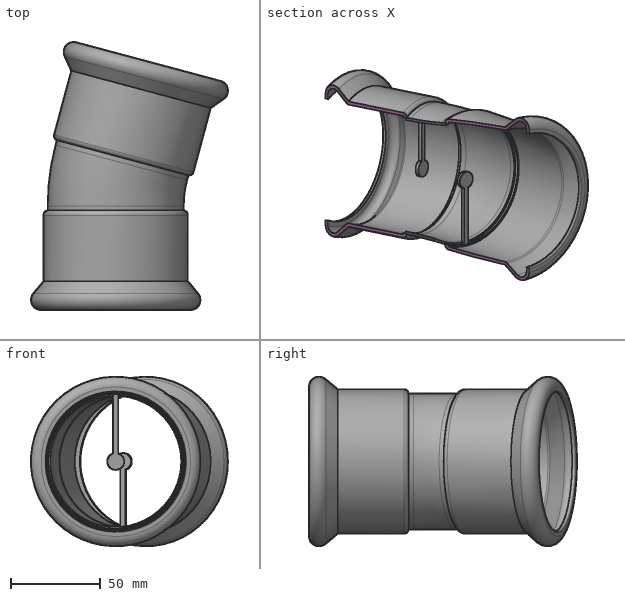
import cadquery as cq
import math

bend_angle = 15.0
leg_length = 70.52
bend_radius = 93.0
bend_tangent = bend_radius * math.tan(math.radians(bend_angle / 2))

pipe_outer_radius = 76.1 / 2
pipe_bore_radius = 73.1 / 2
socket_outer_radius = 80.7 / 2
socket_bore_radius = 76.7 / 2
wall = socket_outer_radius - socket_bore_radius
socket_depth = 53.0
shoulder_radius = 2.6
recess_radius = 75.1 / 2
recess_depth = 2.0
stop_depth = socket_depth + recess_depth

bead_outer_radius = 94.7 / 2
bead_round = 5.65
flare_angle = 40.0
flare_fillet = 1.7
mouth_radius = 78.2 / 2
lip_fillet = 0.4
bead_centre_radius = bead_outer_radius - bead_round

marker_thickness = recess_depth
marker_disc_radius = 9.5 / 2
spoke_width = 3.0


def flare_start(round_radius):
    """Point (radius, depth) where a bead arc about the bead centre runs into the flare."""
    angle = math.radians(flare_angle)
    return (
        bead_centre_radius + round_radius * math.cos(angle),
        bead_round + round_radius * math.sin(angle),
    )


def flare_end(round_radius, end_radius):
    """Point (radius, depth) where the flare meets a cylinder of the given radius."""
    radius, depth = flare_start(round_radius)
    return end_radius, depth + (radius - end_radius) / math.tan(math.radians(flare_angle))


def place(point):
    """Turn (radius, depth from the mouth) into sketch coordinates of the first leg."""
    return point[0], point[1] - leg_length


def make_socket():
    """Revolved wall of the first leg, from the mouth to the start of the bend."""
    bead_inner_round = bead_round - wall
    bend_start = leg_length - bend_tangent
    arc_mid = math.sqrt(0.5)
    shoulder_centre_radius = socket_outer_radius - shoulder_radius
    shoulder_mid = shoulder_radius * arc_mid
    shoulder_rise = math.sqrt(shoulder_radius**2 - (pipe_outer_radius - shoulder_centre_radius) ** 2)
    lip_mid = lip_fillet * (1 - arc_mid)
    corner_radius, corner_depth = flare_end(bead_inner_round, socket_bore_radius)
    angle = math.radians(flare_angle)
    fillet_reach = flare_fillet * math.tan(angle / 2)
    fillet_centre_depth = corner_depth + fillet_reach
    fillet_mid = (
        corner_radius + flare_fillet * (1 - math.cos(angle / 2)),
        fillet_centre_depth - flare_fillet * math.sin(angle / 2),
    )
    fillet_on_flare = (
        corner_radius + fillet_reach * math.sin(angle),
        corner_depth - fillet_reach * math.cos(angle),
    )
    profile = (
        cq.Workplane("XY")
        .moveTo(*place((mouth_radius + lip_fillet, 0)))
        .lineTo(*place((bead_centre_radius, 0)))
        .threePointArc(place((bead_outer_radius, bead_round)), place(flare_start(bead_round)))
        .lineTo(*place(flare_end(bead_round, socket_outer_radius)))
        .lineTo(*place((socket_outer_radius, socket_depth)))
        .threePointArc(
            place((shoulder_centre_radius + shoulder_mid, socket_depth + shoulder_mid)),
            place((pipe_outer_radius, socket_depth + shoulder_rise)),
        )
        .lineTo(*place((pipe_outer_radius, bend_start)))
        .lineTo(*place((pipe_bore_radius, bend_start)))
        .lineTo(*place((pipe_bore_radius, stop_depth)))
        .lineTo(*place((recess_radius, stop_depth)))
        .lineTo(*place((recess_radius, socket_depth)))
        .lineTo(*place((socket_bore_radius, socket_depth)))
        .lineTo(*place((socket_bore_radius, fillet_centre_depth)))
        .threePointArc(place(fillet_mid), place(fillet_on_flare))
        .lineTo(*place(flare_start(bead_inner_round)))
        .threePointArc(
            place((bead_centre_radius + bead_inner_round, bead_round)),
            place((bead_centre_radius, wall)),
        )
        .lineTo(*place((mouth_radius, wall)))
        .lineTo(*place((mouth_radius, lip_fillet)))
        .threePointArc(
            place((mouth_radius + lip_mid, lip_mid)),
            place((mouth_radius + lip_fillet, 0)),
        )
        .close()
    )
    return profile.revolve(360, (0, 0, 0), (0, 1, 0))


def make_bend():
    """Pipe bend that turns from +Y towards +X."""
    return (
        cq.Workplane("XZ", origin=(0, -bend_tangent, 0))
        .circle(pipe_outer_radius)
        .circle(pipe_bore_radius)
        .revolve(bend_angle, (bend_radius, 0, 0), (bend_radius, -1, 0))
    )


def make_marker():
    """Marker of the first leg, resting on the floor of the recess with its spoke towards +Z."""
    stop_plane = cq.Workplane("XZ", origin=(0, stop_depth - leg_length, 0))
    disc = stop_plane.circle(marker_disc_radius).extrude(marker_thickness)
    spoke = (
        stop_plane.center(0, recess_radius / 2)
        .rect(spoke_width, recess_radius)
        .extrude(marker_thickness)
    )
    recess = stop_plane.circle(recess_radius).extrude(marker_thickness)
    return disc.union(spoke.intersect(recess))


def other_leg(body):
    """Half turn about the line that halves the elbow, which swaps the two legs."""
    half_angle = math.radians(bend_angle / 2)
    return body.rotate((0, 0, 0), (math.cos(half_angle), -math.sin(half_angle), 0), 180)


socket = make_socket()
elbow = make_bend().union(socket).union(other_leg(socket))
marker = make_marker()

result = cq.Compound.makeCompound([elbow.val(), marker.val(), other_leg(marker).val()])